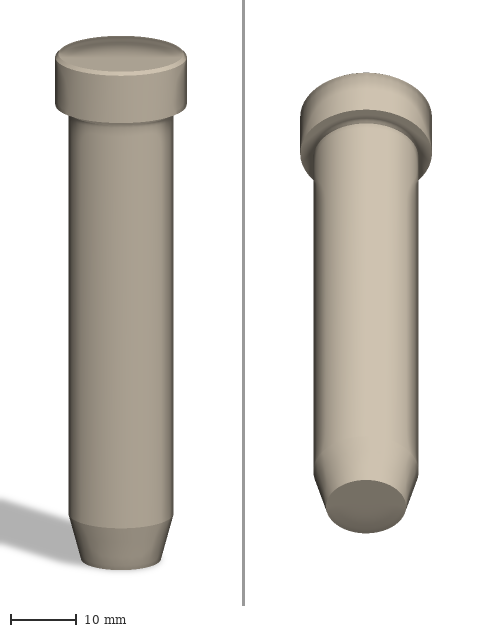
import cadquery as cq
import math

total_length = 80.0

head_diameter = 20.0
head_height = 8.0
head_chamfer = 0.5

shank_diameter = 16.0
groove_radius = 0.5

tip_length = 7.2
tip_half_angle = 15.0

head_radius = head_diameter / 2
shank_radius = shank_diameter / 2
neck_radius = shank_radius - groove_radius
tip_radius = shank_radius - tip_length * math.tan(math.radians(tip_half_angle))
head_underside = total_length - head_height
groove_middle = head_underside - groove_radius
groove_bottom = groove_middle - groove_radius

profile = (
    cq.Workplane("XZ")
    .lineTo(tip_radius, 0)
    .lineTo(shank_radius, tip_length)
    .lineTo(shank_radius, groove_bottom)
    .radiusArc((neck_radius, groove_middle), groove_radius)
    .radiusArc((shank_radius, head_underside), groove_radius)
    .lineTo(head_radius, head_underside)
    .lineTo(head_radius, total_length - head_chamfer)
    .lineTo(head_radius - head_chamfer, total_length)
    .lineTo(0, total_length)
    .close()
)

result = profile.revolve(360, (0, 0, 0), (0, 1, 0))